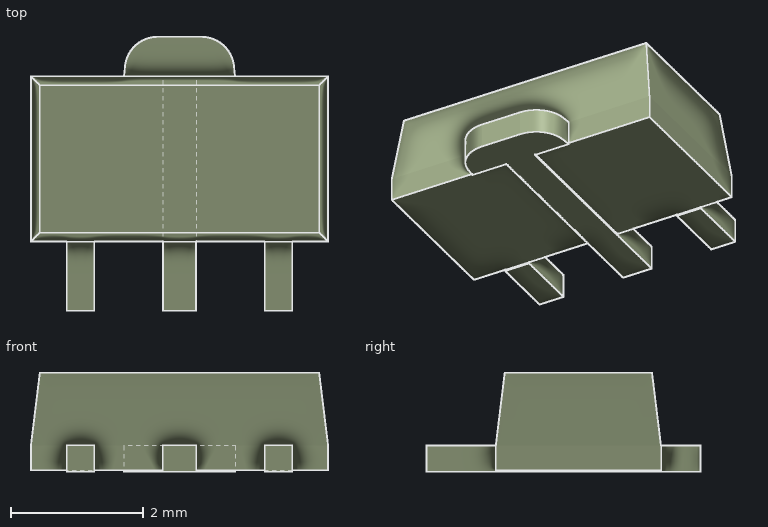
import cadquery as cq
import math

overall_height = 1.5
body_length = 4.5
body_width = 2.5
body_standoff = 0.02
draft_angle = 7.0

lead_thickness = 0.4
lead_length = 1.05
lead_pitch = 1.5
outer_lead_width = 0.42
center_lead_width = 0.5

tab_length = 0.6
tab_root_width = 1.685
tab_shoulder_width = 1.66
tab_corner_radius = 0.5

body_front = -body_width / 2
body_back = body_width / 2


def make_body():
    base_height = lead_thickness - body_standoff
    top_height = overall_height - lead_thickness
    inset = top_height * math.tan(math.radians(draft_angle))
    base = (
        cq.Workplane("XY", origin=(0, 0, body_standoff))
        .rect(body_length, body_width)
        .extrude(base_height)
    )
    top = (
        cq.Workplane("XY", origin=(0, 0, lead_thickness))
        .rect(body_length, body_width)
        .workplane(offset=top_height)
        .rect(body_length - 2 * inset, body_width - 2 * inset)
        .loft(ruled=True)
    )
    return base.union(top)


def make_lead(center_x, width, back_y):
    """Flat bar from the lead tips to back_y, resting on Z = 0."""
    front_y = body_front - lead_length
    return cq.Workplane("XY").box(
        width, back_y - front_y, lead_thickness, centered=(True, False, False)
    ).translate((center_x, front_y, 0))


def make_half_tab():
    end_y = body_back + tab_length
    shoulder_y = end_y - tab_corner_radius
    return (
        cq.Workplane("XY")
        .moveTo(0, end_y)
        .lineTo(tab_shoulder_width / 2 - tab_corner_radius, end_y)
        .tangentArcPoint((tab_shoulder_width / 2, shoulder_y), relative=False)
        .lineTo(tab_root_width / 2, body_back)
        .lineTo(0, body_back)
        .close()
        .extrude(lead_thickness)
    )


half_tab = make_half_tab()
result = make_body().union(half_tab).union(half_tab.mirror("YZ"))
result = result.union(make_lead(0, center_lead_width, body_back))
for side in (-1, 1):
    result = result.union(make_lead(side * lead_pitch, outer_lead_width, body_front))
result = result.clean()